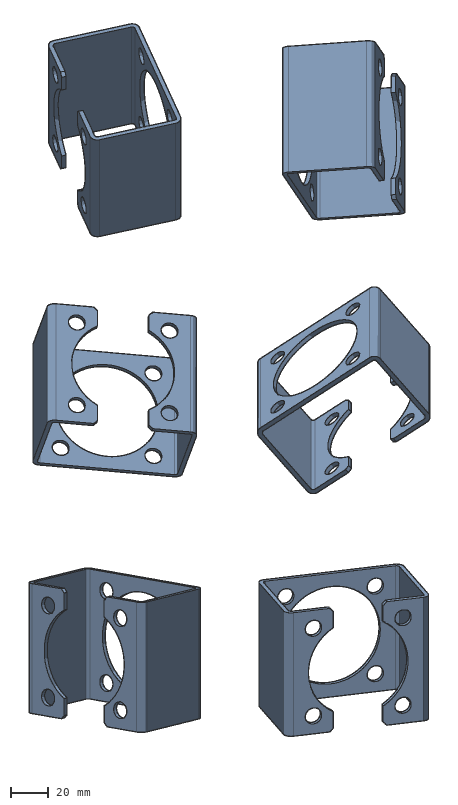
import cadquery as cq

width = 80.0
depth = 50.0
height = 70.0

thickness = 2.5
outer_bend_radius = 4.0
inner_bend_radius = outer_bend_radius - thickness

lip_gap = 27.5
lip_chamfer = 2.0

bore_diameter = 55.0
bolt_diameter = 9.0
bolt_spacing = 49.6


def rounded_block(size_x, size_y, radius):
    """Full-height block with rounded vertical edges."""
    return cq.Workplane("XY").box(size_x, size_y, height).edges("|Z").fillet(radius)


def lip_opening():
    """Front slot that widens at both ends to chamfer the lip corners."""
    half_gap = lip_gap / 2
    half_mouth = half_gap + lip_chamfer
    half_height = height / 2
    chamfer_start = half_height - lip_chamfer
    outline = [
        (-half_mouth, half_height),
        (half_mouth, half_height),
        (half_gap, chamfer_start),
        (half_gap, -chamfer_start),
        (half_mouth, -half_height),
        (-half_mouth, -half_height),
        (-half_gap, -chamfer_start),
        (-half_gap, chamfer_start),
    ]
    front = cq.Workplane("XZ", origin=(0, -depth / 2, 0))
    return front.polyline(outline).close().extrude(-depth / 2)


def through_holes():
    """Central bore and four bolt holes, running front to back."""
    front = cq.Workplane("XZ", origin=(0, -depth / 2, 0))
    bore = front.circle(bore_diameter / 2).extrude(-depth)
    bolts = (
        front.rect(bolt_spacing, bolt_spacing, forConstruction=True)
        .vertices()
        .circle(bolt_diameter / 2)
        .extrude(-depth)
    )
    return bore.union(bolts)


outer = rounded_block(width, depth, outer_bend_radius)
inner = rounded_block(width - 2 * thickness, depth - 2 * thickness, inner_bend_radius)
result = outer.cut(inner).cut(lip_opening()).cut(through_holes())